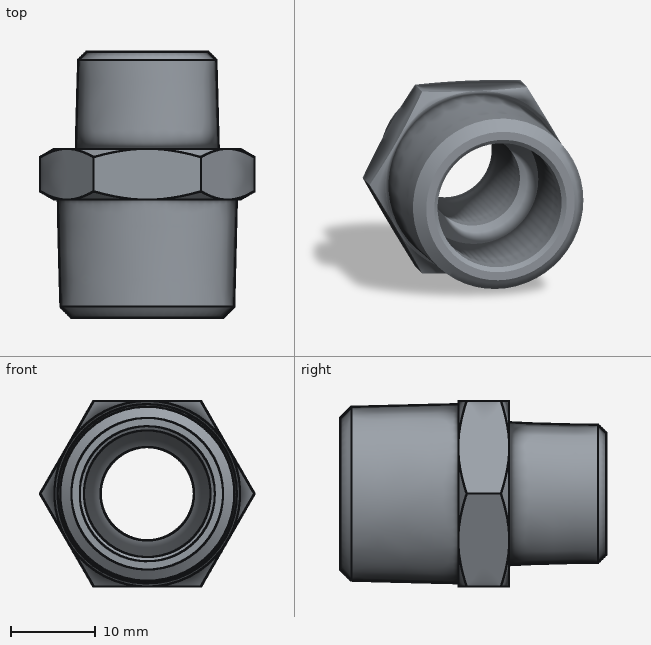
import cadquery as cq
import math

total_length = 31.5
large_length = 14.0
hex_length = 6.02
half_length = total_length / 2
hex_front = -half_length + large_length
hex_back = hex_front + hex_length

across_flats = 22.0
across_corners = across_flats / math.cos(math.radians(30))
corner_chamfer_angle = 30.0

large_root_radius = 10.6
large_tip_radius = 10.3
large_face_radius = 8.98
large_chamfer_length = 1.32
small_root_radius = 8.47
small_tip_radius = 8.2
small_face_radius = 7.18
small_chamfer_length = 1.0

through_radius = 5.5
entry_radius = 7.5
mouth_chamfer = 0.5
entry_length = large_length
cone_angle = 60.0


def revolve_about_y(points):
    """Revolve a closed (radius, y) outline around the Y axis."""
    outline = cq.Workplane("XY").polyline(points).close()
    return outline.revolve(360, (0, 0, 0), (0, 1, 0))


def make_collar():
    prism = (
        cq.Workplane("XZ", origin=(0, hex_back, 0))
        .polygon(6, across_corners)
        .extrude(hex_length)
    )
    flat_radius = across_flats / 2
    corner_radius = across_corners / 2
    setback = (corner_radius - flat_radius) * math.tan(math.radians(corner_chamfer_angle))
    chamfer_envelope = revolve_about_y([
        (0, hex_front),
        (flat_radius, hex_front),
        (corner_radius, hex_front + setback),
        (corner_radius, hex_back - setback),
        (flat_radius, hex_back),
        (0, hex_back),
    ])
    return prism.intersect(chamfer_envelope)


def make_tapered_ends():
    return revolve_about_y([
        (0, -half_length),
        (large_face_radius, -half_length),
        (large_tip_radius, -half_length + large_chamfer_length),
        (large_root_radius, hex_front),
        (small_root_radius, hex_back),
        (small_tip_radius, half_length - small_chamfer_length),
        (small_face_radius, half_length),
        (0, half_length),
    ])


def make_bore():
    cone_start = -half_length + entry_length
    cone_length = (entry_radius - through_radius) / math.tan(math.radians(cone_angle))
    return revolve_about_y([
        (0, -half_length),
        (entry_radius + mouth_chamfer, -half_length),
        (entry_radius, -half_length + mouth_chamfer),
        (entry_radius, cone_start),
        (through_radius, cone_start + cone_length),
        (through_radius, half_length),
        (0, half_length),
    ])


result = make_collar().union(make_tapered_ends()).cut(make_bore())